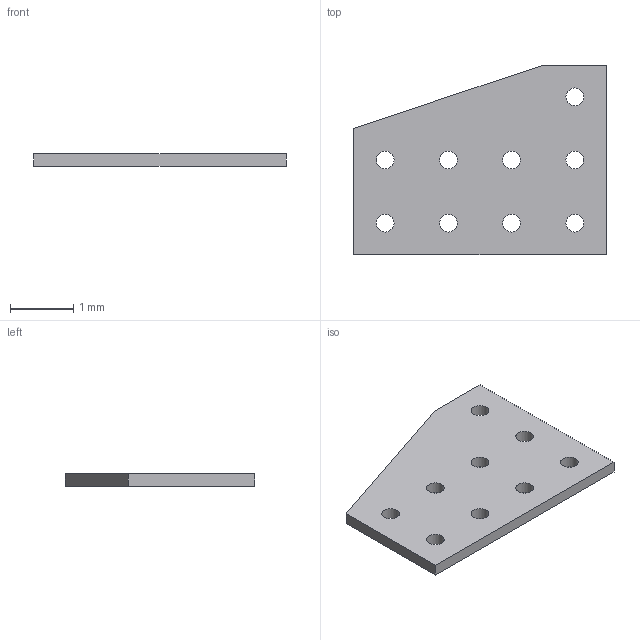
import cadquery as cq

pitch = 1.0
columns = 4
rows = 3
thickness = 0.19
hole_diameter = 0.28

length = columns * pitch
width = rows * pitch
left_edge_length = width - pitch
top_edge_start = length - pitch
edge_distance = pitch / 2


def make_plate():
    """Flat plate with its back left corner cut by a sloped edge."""
    outline = [
        (0, 0),
        (length, 0),
        (length, width),
        (top_edge_start, width),
        (0, left_edge_length),
    ]
    return cq.Workplane("XY").polyline(outline).close().extrude(thickness)


def hole_centres():
    """Full rows of holes, except the back row, which has only its last hole."""
    centres = []
    for row in range(rows):
        first_column = columns - 1 if row == rows - 1 else 0
        for column in range(first_column, columns):
            x = edge_distance + column * pitch
            y = edge_distance + row * pitch
            centres.append((x, y))
    return centres


def drill_holes(plate):
    """Plain round holes through the whole thickness."""
    top_face = plate.faces(">Z").workplane(origin=(0, 0, thickness))
    return top_face.pushPoints(hole_centres()).hole(hole_diameter)


result = drill_holes(make_plate())